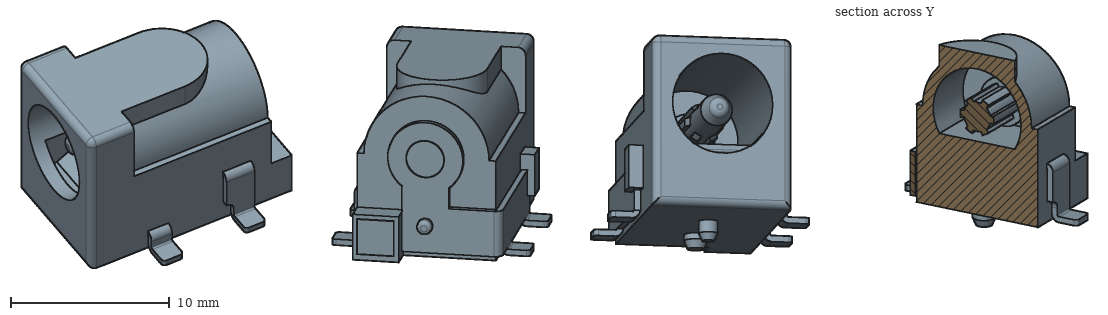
import cadquery as cq
import math


HOUSING_WIDTH = 8.9
HOUSING_LENGTH = 13.26
HOUSING_HEIGHT = 10.9
HEAD_LENGTH = 3.25
EDGE_RADIUS = 0.49
BARREL_RADIUS = 4.01
TONGUE_RADIUS = 2.88
TONGUE_LENGTH = 10.75
HALF_WIDTH = HOUSING_WIDTH / 2

BORE_DIAMETER = 6.4
BORE_Z = 6.6
LIP_THICKNESS = 1.0
REAR_WALL = 1.0
SHELF_DROP = 1.63
POCKET_FLOOR_Z = 2.73
RAMP_START_Y = 1.83
RAMP_END_Y = 5.0
RAMP_END_Z = 4.55
RAMP_BLEND_RADIUS = 0.16
BORE_RADIUS = BORE_DIAMETER / 2
BORE_END_Y = HOUSING_LENGTH - REAR_WALL
SHELF_Z = BORE_Z - SHELF_DROP
POCKET_WIDTH = 2 * math.sqrt(BORE_RADIUS**2 - SHELF_DROP**2)

SHEET = 0.4
BEND_INSIDE = 0.1
BEND_OUTSIDE = BEND_INSIDE + SHEET
STRIP_OUTER_X = 4.9
STRIP_INNER_X = STRIP_OUTER_X - SHEET

FOOT_SPAN = 12.7
FOOT_TIP_X = FOOT_SPAN / 2
FOOT_BOTTOM_Z = -0.09
FOOT_WIDTH = 1.5
FOOT_CORNER_RADIUS = 0.25
FRONT_FOOT_Y = 5.0
REAR_FOOT_Y = 11.02
FOOT_TOP_Z = FOOT_BOTTOM_Z + SHEET

FRONT_TERMINAL_TOP_Z = 1.41
REAR_TERMINAL_TOP_Z = 3.95
REAR_TAB_FRONT_Y = 9.73
TERMINAL_ROOT = 0.6

BRACKET_FRONT_Y = 4.17
BRACKET_BOTTOM_Z = 0.39
BRACKET_TOP_Z = 3.39
PLATE_DISC_RADIUS = 2.4
NECK_HALF_WIDTH = 1.5
RIVET_DIAMETER = 2.42
RIVET_HEIGHT = 0.06
PLATE_REAR_Y = HOUSING_LENGTH + SHEET

PIN_DIAMETER = 2.0
PIN_TIP_Y = 1.02
PIN_TIP_RADIUS = 0.18
NOSE_END_Y = 1.3
NOSE_END_RADIUS = 0.64
NOSE_MID_Y = 1.1
NOSE_MID_RADIUS = 0.46
CONE_END_Y = 2.2
COLLAR_DIAMETER = 3.25
COLLAR_LENGTH = 0.5
RIB_COUNT = 6
RIB_WIDTH = 0.52
RIB_RADIUS = 1.25
RIB_START_Y = 5.94
RIB_SLOPE_LENGTH = 0.6
PIN_RADIUS = PIN_DIAMETER / 2
COLLAR_FRONT_Y = BORE_END_Y - COLLAR_LENGTH

KEEPER_OUTER_X = 5.36
KEEPER_FRONT_Y = 3.5
KEEPER_LENGTH = 1.47
KEEPER_BOTTOM_Z = 1.7
KEEPER_HEIGHT = 2.73
REAR_BLOCK_END_Y = 14.76
REAR_BLOCK_HEIGHT = 3.01
REAR_PAD_END_Y = 14.85
REAR_PAD_INSET = 0.3
REAR_PAD_BOTTOM_Z = 0.42
REAR_PAD_TOP_Z = 2.73
REAR_PEG_DIAMETER = 0.95
REAR_PEG_Z = 2.18
REAR_PEG_END_Y = 14.24
REAR_PEG_ROUNDING = 0.27

REAR_POST = dict(y=9.49, diameter=1.5, tip_diameter=1.05, straight=0.39, length=0.9)
FRONT_POST = dict(y=5.1, diameter=1.2, tip_diameter=0.75, straight=0.77, length=1.25)


def box(x0, x1, y0, y1, z0, z1):
    return cq.Workplane("XY").box(x1 - x0, y1 - y0, z1 - z0, centered=False).translate((x0, y0, z0))


def rod(radius, y0, y1, z):
    """Cylinder along Y in the middle plane."""
    return cq.Workplane("XZ", origin=(0, y0, z)).circle(radius).extrude(y0 - y1)


def round_edge(body, radius, point, direction):
    """Fillet the edge along the given direction whose middle is nearest to the point."""
    nearest = cq.selectors.NearestToPointSelector(point)
    edge = body.edges(cq.selectors.ParallelDirSelector(cq.Vector(*direction))).edges(nearest)
    return edge.fillet(radius)


def make_shell():
    """Outer shape: filleted head, barrel on a square base, and a flat tongue on top."""
    head = box(-HALF_WIDTH, HALF_WIDTH, 0, HEAD_LENGTH, 0, HOUSING_HEIGHT)
    head = head.edges("<Y or (>Z and |Y)").fillet(EDGE_RADIUS)
    base = box(-HALF_WIDTH, HALF_WIDTH, HEAD_LENGTH, HOUSING_LENGTH, 0, BORE_Z)
    barrel = rod(BARREL_RADIUS, HEAD_LENGTH, HOUSING_LENGTH, BORE_Z)
    arc_y = TONGUE_LENGTH - TONGUE_RADIUS
    tongue = (
        cq.Workplane("XY", origin=(0, 0, BORE_Z))
        .moveTo(-TONGUE_RADIUS, HEAD_LENGTH)
        .lineTo(-TONGUE_RADIUS, arc_y)
        .threePointArc((0, TONGUE_LENGTH), (TONGUE_RADIUS, arc_y))
        .lineTo(TONGUE_RADIUS, HEAD_LENGTH)
        .close()
        .extrude(HOUSING_HEIGHT - BORE_Z)
    )
    return head.union(base).union(barrel).union(tongue)


def make_cavity():
    """Round bore, flat-bottomed behind the ramp, with a ramped pocket just behind the lip."""
    bore = rod(BORE_RADIUS, 0, BORE_END_Y, BORE_Z)
    below_shelf = box(-BORE_RADIUS, BORE_RADIUS, LIP_THICKNESS, BORE_END_Y, 0, SHELF_Z)
    pocket = (
        cq.Workplane("YZ", origin=(-POCKET_WIDTH / 2, 0, 0))
        .polyline([
            (LIP_THICKNESS, SHELF_Z),
            (LIP_THICKNESS, POCKET_FLOOR_Z),
            (RAMP_START_Y, POCKET_FLOOR_Z),
            (RAMP_END_Y, RAMP_END_Z),
            (RAMP_END_Y, SHELF_Z),
        ])
        .close()
        .extrude(POCKET_WIDTH)
    )
    pocket = round_edge(pocket, RAMP_BLEND_RADIUS, (0, RAMP_END_Y, RAMP_END_Z), (1, 0, 0))
    return bore.cut(below_shelf).union(pocket)


def make_post(y, diameter, tip_diameter, straight, length):
    """Locating post under the housing with a tapered tip."""
    profile = [
        (0, 0), (diameter / 2, 0), (diameter / 2, -straight), (tip_diameter / 2, -length), (0, -length),
    ]
    post = cq.Workplane("XZ").polyline(profile).close().revolve(360, (0, 0, 0), (0, 1, 0))
    return post.translate((0, y, 0))


def make_rear_block():
    """Block on the right of the rear face with a thin raised pad."""
    left_x = NECK_HALF_WIDTH
    block = box(left_x, HALF_WIDTH, HOUSING_LENGTH, REAR_BLOCK_END_Y, 0, REAR_BLOCK_HEIGHT)
    pad = box(
        left_x + REAR_PAD_INSET, HALF_WIDTH - REAR_PAD_INSET,
        REAR_BLOCK_END_Y, REAR_PAD_END_Y, REAR_PAD_BOTTOM_Z, REAR_PAD_TOP_Z,
    )
    return block.union(pad)


def make_rear_peg():
    """Round-ended peg that passes through the rear plate."""
    peg = rod(REAR_PEG_DIAMETER / 2, HOUSING_LENGTH, REAR_PEG_END_Y, REAR_PEG_Z)
    return peg.faces(">Y").edges().fillet(REAR_PEG_ROUNDING)


def make_keeper():
    """Block on the left wall that straps the front end of the bracket."""
    return box(
        -KEEPER_OUTER_X, -HALF_WIDTH, KEEPER_FRONT_Y, KEEPER_FRONT_Y + KEEPER_LENGTH,
        KEEPER_BOTTOM_Z, KEEPER_BOTTOM_Z + KEEPER_HEIGHT,
    )


def make_leg(top_z, y):
    """Right-hand foot whose upright strip rises to top_z; its upper end is square."""
    upright = box(
        STRIP_INNER_X, STRIP_OUTER_X, y - FOOT_WIDTH / 2, y + FOOT_WIDTH / 2, FOOT_BOTTOM_Z, top_z,
    )
    foot = box(
        STRIP_INNER_X, FOOT_TIP_X, y - FOOT_WIDTH / 2, y + FOOT_WIDTH / 2, FOOT_BOTTOM_Z, FOOT_TOP_Z,
    )
    leg = upright.union(foot)
    leg = round_edge(leg, BEND_OUTSIDE, (STRIP_INNER_X, y, FOOT_BOTTOM_Z), (0, 1, 0))
    leg = round_edge(leg, BEND_INSIDE, (STRIP_OUTER_X, y, FOOT_TOP_Z), (0, 1, 0))
    return leg.edges(">X and |Z").fillet(FOOT_CORNER_RADIUS)


def make_top_bend(front_y, rear_y, bottom_z, top_z):
    """Upper part of a right-hand terminal: an upright strip bent over into the housing wall."""
    middle_y = (front_y + rear_y) / 2
    upright = box(STRIP_INNER_X, STRIP_OUTER_X, front_y, rear_y, bottom_z, top_z)
    root = box(HALF_WIDTH - TERMINAL_ROOT, STRIP_OUTER_X, front_y, rear_y, top_z - SHEET, top_z)
    bend = upright.union(root)
    bend = round_edge(bend, BEND_OUTSIDE, (STRIP_OUTER_X, middle_y, top_z), (0, 1, 0))
    return round_edge(bend, BEND_INSIDE, (STRIP_INNER_X, middle_y, top_z - SHEET), (0, 1, 0))


def make_front_terminal():
    """Foot whose upright strip turns into the wall just above the underside."""
    half = FOOT_WIDTH / 2
    split_z = FRONT_TERMINAL_TOP_Z - BEND_OUTSIDE - BEND_INSIDE
    bend = make_top_bend(FRONT_FOOT_Y - half, FRONT_FOOT_Y + half, split_z, FRONT_TERMINAL_TOP_Z)
    return make_leg(split_z, FRONT_FOOT_Y).union(bend)


def make_rear_terminal():
    """Foot below a wider tab, whose lower front corner is hollowed down to the foot's width."""
    leg_front_y = REAR_FOOT_Y - FOOT_WIDTH / 2
    corner_radius = leg_front_y - REAR_TAB_FRONT_Y
    tab_bottom_z = FRONT_TERMINAL_TOP_Z - corner_radius
    rear_y = REAR_FOOT_Y + FOOT_WIDTH / 2
    tab = make_top_bend(REAR_TAB_FRONT_Y, rear_y, tab_bottom_z, REAR_TERMINAL_TOP_Z)
    hollow = (
        cq.Workplane("YZ", origin=(0, REAR_TAB_FRONT_Y, tab_bottom_z))
        .circle(corner_radius)
        .extrude(FOOT_TIP_X)
    )
    return make_leg(tab_bottom_z, REAR_FOOT_Y).union(tab.cut(hollow))


def make_bracket():
    """Side strip bent round the rear left corner, with the rear disc, its neck and two feet."""
    side = box(
        -STRIP_OUTER_X, -STRIP_INNER_X, BRACKET_FRONT_Y, PLATE_REAR_Y, BRACKET_BOTTOM_Z, BRACKET_TOP_Z,
    )
    rear = box(
        -STRIP_OUTER_X, NECK_HALF_WIDTH, HOUSING_LENGTH, PLATE_REAR_Y, BRACKET_BOTTOM_Z, BRACKET_TOP_Z,
    )
    middle_z = (BRACKET_BOTTOM_Z + BRACKET_TOP_Z) / 2
    strip = side.union(rear)
    strip = round_edge(strip, BEND_OUTSIDE, (-STRIP_OUTER_X, PLATE_REAR_Y, middle_z), (0, 0, 1))
    strip = round_edge(strip, BEND_INSIDE, (-STRIP_INNER_X, HOUSING_LENGTH, middle_z), (0, 0, 1))
    neck = box(
        -NECK_HALF_WIDTH, NECK_HALF_WIDTH, HOUSING_LENGTH, PLATE_REAR_Y, BRACKET_BOTTOM_Z, BORE_Z,
    )
    disc = rod(PLATE_DISC_RADIUS, HOUSING_LENGTH, PLATE_REAR_Y, BORE_Z)
    bracket = strip.union(neck).union(disc)
    for y in (FRONT_FOOT_Y, REAR_FOOT_Y):
        bracket = bracket.union(make_leg(BRACKET_BOTTOM_Z + BEND_OUTSIDE, y).mirror("YZ"))
    return bracket.cut(rod(REAR_PEG_DIAMETER / 2, HOUSING_LENGTH, PLATE_REAR_Y, REAR_PEG_Z))


def make_pin():
    """Turned centre pin with a collar against the rear wall and a rivet head behind the plate."""
    rivet_end_y = PLATE_REAR_Y + RIVET_HEIGHT
    pin = (
        cq.Workplane("XY")
        .moveTo(0, PIN_TIP_Y)
        .lineTo(PIN_TIP_RADIUS, PIN_TIP_Y)
        .threePointArc((NOSE_MID_RADIUS, NOSE_MID_Y), (NOSE_END_RADIUS, NOSE_END_Y))
        .lineTo(PIN_RADIUS, CONE_END_Y)
        .lineTo(PIN_RADIUS, COLLAR_FRONT_Y)
        .lineTo(COLLAR_DIAMETER / 2, COLLAR_FRONT_Y)
        .lineTo(COLLAR_DIAMETER / 2, BORE_END_Y)
        .lineTo(PIN_RADIUS, BORE_END_Y)
        .lineTo(PIN_RADIUS, PLATE_REAR_Y)
        .lineTo(RIVET_DIAMETER / 2, PLATE_REAR_Y)
        .lineTo(RIVET_DIAMETER / 2, rivet_end_y)
        .lineTo(0, rivet_end_y)
        .close()
        .revolve(360, (0, 0, 0), (0, 1, 0))
    )
    envelope = (
        cq.Workplane("XY")
        .polyline([
            (0, RIB_START_Y),
            (PIN_RADIUS, RIB_START_Y),
            (RIB_RADIUS, RIB_START_Y + RIB_SLOPE_LENGTH),
            (RIB_RADIUS, COLLAR_FRONT_Y),
            (0, COLLAR_FRONT_Y),
        ])
        .close()
        .revolve(360, (0, 0, 0), (0, 1, 0))
    )
    bar = box(0, RIB_RADIUS, RIB_START_Y, COLLAR_FRONT_Y, -RIB_WIDTH / 2, RIB_WIDTH / 2)
    for index in range(RIB_COUNT):
        rib = bar.rotate((0, 0, 0), (0, 1, 0), index * 360 / RIB_COUNT)
        pin = pin.union(rib.intersect(envelope))
    return pin.translate((0, 0, BORE_Z))


def make_contact():
    """Bracket and centre pin, riveted into one piece."""
    return make_bracket().union(make_pin())


def make_housing(contact):
    """Housing with its right-hand terminals, fitted round the contact."""
    housing = make_shell().cut(make_cavity())
    features = [
        make_keeper(),
        make_rear_block(),
        make_rear_peg(),
        make_post(**REAR_POST),
        make_post(**FRONT_POST),
        make_front_terminal(),
        make_rear_terminal(),
    ]
    for feature in features:
        housing = housing.union(feature)
    return housing.cut(contact)


contact = make_contact()
housing = make_housing(contact)

result = cq.Compound.makeCompound([housing.solids().val(), contact.solids().val()])